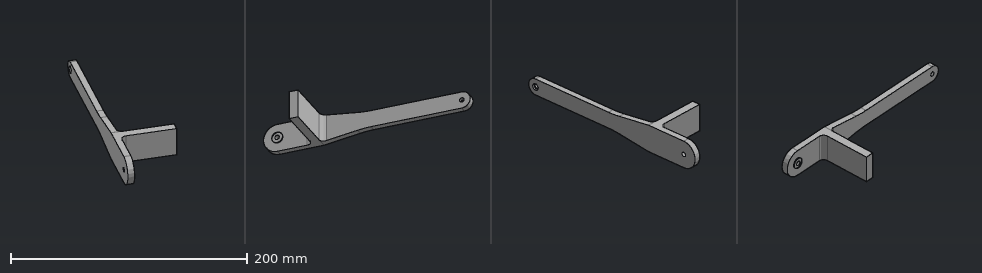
import cadquery as cq
import math


length = 191.0
depth = 55.5
plate_thickness = 6.1

narrow_radius = 7.8
wide_radius = 13.0
blend_start_x = 91.7
blend_end_x = 104.0
flare_end_x = 137.5
wide_center_x = length - wide_radius

wall_thickness = 8.2
wall_fillet = 4.8

hole_diameter = 4.0
counterbore_diameter = 6.1
counterbore_depth = 2.0
boss_diameter = 10.0
boss_height = 0.8


def disc(x, diameter, y_start, y_end):
    """Cylinder along Y between two depths, centred on the plate's axis."""
    return (
        cq.Workplane("XZ", origin=(x, y_start, 0))
        .circle(diameter / 2)
        .extrude(y_start - y_end)
    )


def paddle():
    """Flat plate whose narrow arm blends through an arc into a wide end."""
    blend_run = blend_end_x - blend_start_x
    flare_run = flare_end_x - blend_end_x
    flare_slope = (wide_radius - narrow_radius) / (flare_run + blend_run / 2)
    blend_half_width = narrow_radius + flare_slope * blend_run / 2
    upper_half = (
        cq.Workplane("XZ")
        .moveTo(0, 0)
        .threePointArc(
            (narrow_radius * (1 - math.sqrt(0.5)), narrow_radius * math.sqrt(0.5)),
            (narrow_radius, narrow_radius),
        )
        .lineTo(blend_start_x, narrow_radius)
        .tangentArcPoint((blend_end_x, blend_half_width), relative=False)
        .lineTo(flare_end_x, wide_radius)
        .lineTo(wide_center_x, wide_radius)
        .tangentArcPoint((length, 0), relative=False)
        .close()
        .extrude(-plate_thickness)
    )
    return upper_half.union(upper_half.mirror("XY")).clean()


def wall():
    """Upright wall across the full width of the wide end."""
    return cq.Workplane("XY").box(
        wall_thickness, depth, 2 * wide_radius, centered=(False, False, True)
    ).translate((flare_end_x, 0, 0))


def wall_foot_fillets(body):
    """Round both inside corners where the wall meets the plate."""
    reach = 0.2
    corners = cq.selectors.BoxSelector(
        (flare_end_x - reach, plate_thickness - reach, -wide_radius),
        (flare_end_x + wall_thickness + reach, plate_thickness + reach, wide_radius),
    )
    return body.edges("|Z").edges(corners).fillet(wall_fillet)


boss_top_y = plate_thickness + boss_height
result = wall_foot_fillets(paddle().union(wall()))
result = result.union(disc(wide_center_x, boss_diameter, 0, boss_top_y))
result = result.cut(disc(wide_center_x, hole_diameter, 0, boss_top_y))
result = result.cut(disc(narrow_radius, hole_diameter, 0, plate_thickness))
result = result.cut(disc(narrow_radius, counterbore_diameter, 0, counterbore_depth))